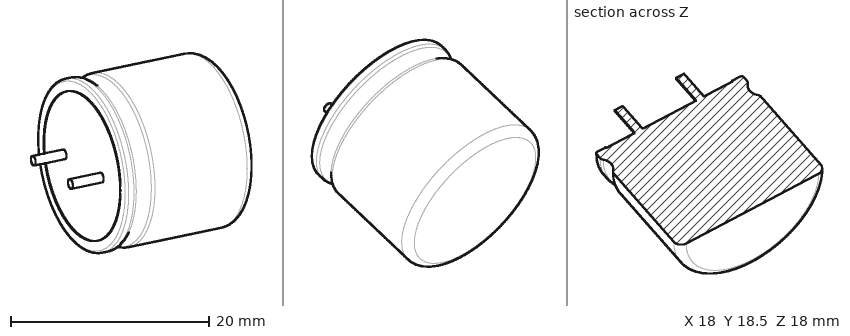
import cadquery as cq
import math


overall_length = 18.5
can_diameter = 18.0
pin_length = 3.5
can_length = overall_length - pin_length
can_radius = can_diameter / 2
closed_end_fillet = 0.9
sealed_end_fillet = 0.25

groove_position = 2.1
groove_depth = 0.5
groove_radius = 1.25
groove_lip_radius = 0.5

seal_diameter = 15.43
seal_recess = 0.1

pin_diameter = 1.0
pin_spacing = 7.5


def point_on_circle(radius, center_x, center_y, angle):
    """Point on a circle at the given angle in degrees, measured from +X."""
    turn = math.radians(angle)
    return (center_x + radius * math.cos(turn), center_y + radius * math.sin(turn))


def make_can():
    """Solid of revolution with rounded ends and a crimp groove with rounded lips."""
    groove_center = can_radius - groove_depth + groove_radius
    lip_center = can_radius - groove_lip_radius
    center_distance = groove_radius + groove_lip_radius
    lip_offset = math.sqrt(center_distance**2 - (groove_center - lip_center) ** 2)
    lip_slope = math.degrees(math.asin(lip_offset / center_distance))

    front_lip = groove_position - lip_offset
    back_lip = groove_position + lip_offset
    front_lip_end = point_on_circle(groove_lip_radius, lip_center, front_lip, lip_slope)
    front_lip_middle = point_on_circle(groove_lip_radius, lip_center, front_lip, lip_slope / 2)
    back_lip_end = point_on_circle(groove_lip_radius, lip_center, back_lip, -lip_slope)
    back_lip_middle = point_on_circle(groove_lip_radius, lip_center, back_lip, -lip_slope / 2)

    sealed_corner = can_radius - sealed_end_fillet
    closed_corner = can_radius - closed_end_fillet
    closed_shoulder = can_length - closed_end_fillet

    profile = (
        cq.Workplane("XY")
        .moveTo(0, 0)
        .lineTo(sealed_corner, 0)
        .threePointArc(
            point_on_circle(sealed_end_fillet, sealed_corner, sealed_end_fillet, -45),
            (can_radius, sealed_end_fillet),
        )
        .lineTo(can_radius, front_lip)
        .threePointArc(front_lip_middle, front_lip_end)
        .threePointArc((can_radius - groove_depth, groove_position), back_lip_end)
        .threePointArc(back_lip_middle, (can_radius, back_lip))
        .lineTo(can_radius, closed_shoulder)
        .threePointArc(
            point_on_circle(closed_end_fillet, closed_corner, closed_shoulder, 45),
            (closed_corner, can_length),
        )
        .lineTo(0, can_length)
        .close()
    )
    return profile.revolve(360, (0, 0, 0), (0, 1, 0))


def make_seal_recess():
    """Shallow round pocket that leaves the seal disc below the can rim."""
    return cq.Workplane("XZ").circle(seal_diameter / 2).extrude(-seal_recess)


def make_pins():
    """Two round pins standing on the seal disc, side by side along X."""
    return (
        cq.Workplane("XZ", origin=(0, seal_recess, 0))
        .pushPoints([(-pin_spacing / 2, 0), (pin_spacing / 2, 0)])
        .circle(pin_diameter / 2)
        .extrude(pin_length + seal_recess)
    )


result = make_can().cut(make_seal_recess()).union(make_pins())